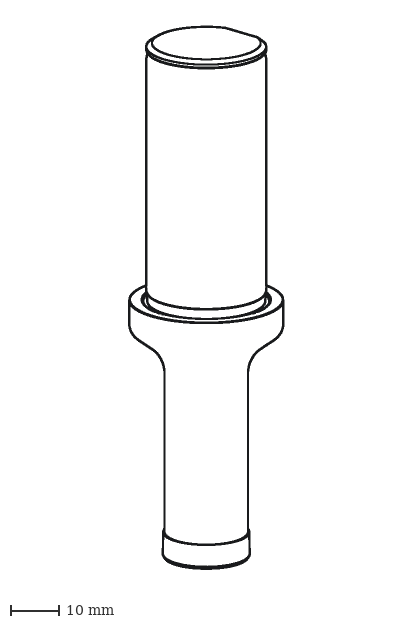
import cadquery as cq
import math

total_height = 112.0
flange_top = 56.1

shank_radius = 25.0 / 2
groove_radius = 24.5 / 2
top_face_radius = 11.3
rim_top = total_height - 0.8
rim_bottom = total_height - 1.5
top_groove_roof = rim_bottom - 0.2
top_groove_floor = total_height - 2.5
top_groove_end = total_height - 3.5
shank_bottom = flange_top + 1.9
shank_bottom_chamfer = shank_radius - groove_radius

flat_distance = 10.3
flat_runout_top = 61.8

relief_radius = 13.4
relief_floor_radius = 13.1
relief_depth = 0.3
flange_radius = 32.0 / 2
flange_chamfer = 0.1
flange_bottom = 50.7

stem_radius = 17.4 / 2
stem_blend_bottom = 39.9
cone_angle = math.radians(37.5)
upper_blend_radius = 2.1
transition_turn = math.pi / 2 - cone_angle

tip_height = 5.5
tip_top_radius = 9.0
tip_bottom_radius = 9.1
tip_edge_height = 0.8
tip_face_radius = 8.7
tip_point_height = 0.2


def blend_radius_below_cone():
    """Radius of the lower arc that is tangent to both the cone and the stem."""
    inward = 1 - math.cos(transition_turn)
    drop = math.sin(transition_turn)
    slope = math.tan(cone_angle)
    width = flange_radius - stem_radius
    height = flange_bottom - stem_blend_bottom
    return (height - slope * width) / (drop - slope * inward) - upper_blend_radius


def arc_point(center_radius, center_z, radius, angle):
    """Point on a profile arc, with the angle measured from the outward direction."""
    return (center_radius + radius * math.cos(angle), center_z + radius * math.sin(angle))


def make_holder():
    upper_center = flange_radius - upper_blend_radius
    lower_blend_radius = blend_radius_below_cone()
    lower_center = stem_radius + lower_blend_radius

    def upper_arc(turn):
        return arc_point(upper_center, flange_bottom, upper_blend_radius, -turn)

    def lower_arc(turn):
        return arc_point(lower_center, stem_blend_bottom, lower_blend_radius, math.pi - turn)

    profile = (
        cq.Workplane("XZ")
        .moveTo(0, total_height)
        .lineTo(top_face_radius, total_height)
        .lineTo(shank_radius, rim_top)
        .lineTo(shank_radius, rim_bottom)
        .lineTo(groove_radius, top_groove_roof)
        .lineTo(groove_radius, top_groove_floor)
        .lineTo(shank_radius, top_groove_end)
        .lineTo(shank_radius, shank_bottom)
        .lineTo(groove_radius, shank_bottom - shank_bottom_chamfer)
        .lineTo(groove_radius, flange_top - relief_depth)
        .lineTo(relief_floor_radius, flange_top - relief_depth)
        .lineTo(relief_radius, flange_top)
        .lineTo(flange_radius - flange_chamfer, flange_top)
        .lineTo(flange_radius, flange_top - flange_chamfer)
        .lineTo(flange_radius, flange_bottom)
        .threePointArc(upper_arc(transition_turn / 2), upper_arc(transition_turn))
        .lineTo(*lower_arc(transition_turn))
        .threePointArc(lower_arc(transition_turn / 2), lower_arc(0))
        .lineTo(stem_radius, tip_height)
        .lineTo(0, tip_height)
        .close()
    )
    return profile.revolve(360, (0, 0, 0), (0, 1, 0)).cut(make_flat_cutter())


def make_flat_cutter():
    outer = flange_radius
    runout = outer - flat_distance
    return (
        cq.Workplane("YZ")
        .moveTo(flat_distance, total_height)
        .lineTo(flat_distance, flat_runout_top)
        .lineTo(outer, flat_runout_top - runout)
        .lineTo(outer, total_height)
        .close()
        .extrude(flange_radius, both=True)
    )


def make_tip():
    profile = (
        cq.Workplane("XZ")
        .moveTo(0, 0)
        .lineTo(tip_face_radius, tip_point_height)
        .lineTo(tip_bottom_radius, tip_edge_height)
        .lineTo(tip_top_radius, tip_height)
        .lineTo(0, tip_height)
        .close()
    )
    return profile.revolve(360, (0, 0, 0), (0, 1, 0))


holder = make_holder()
tip = make_tip()
result = cq.Compound.makeCompound([*holder.solids().vals(), tip.val()])